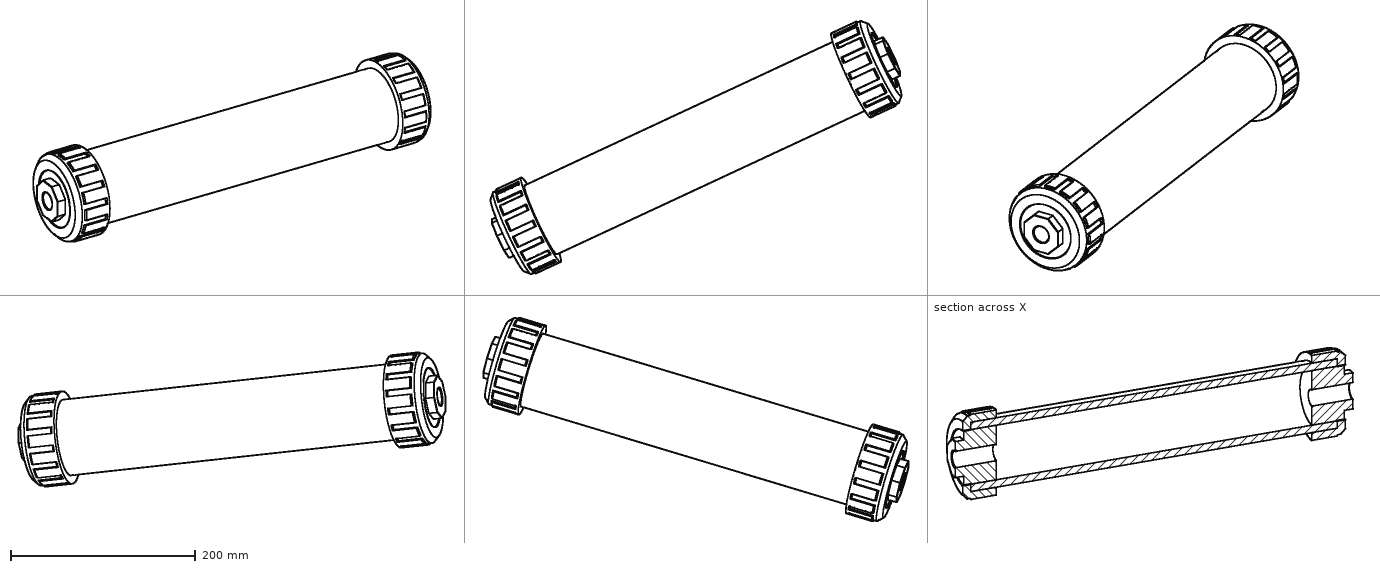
import cadquery as cq
import math

TOTAL_LENGTH = 471.5

TUBE_DIAMETER = 83.0

HEAD_LENGTH = 9.0
HEAD_ACROSS_FLATS = 43.5
HEAD_SIDES = 8
HEAD_CHAMFER = 0.5
PORT_DIAMETER = 19.0
PORT_CHAMFER = 1.0
PLUG_DIAMETER = 64.0
OPENING_DIAMETER = 65.0
PLUG_RECESS = 1.0

CAP_DIAMETER = 101.5
COLLAR_DIAMETER = 98.5
CAP_LENGTH = 40.0
CAP_WALL = 9.5
CAP_CHAMFER = 5.5
COLLAR_LENGTH = 9.0
FLANGE_LENGTH = 3.0
PAD_COUNT = 16
PAD_WIDTH = 12.5

END_Y = TOTAL_LENGTH / 2
CAP_FACE_Y = END_Y - HEAD_LENGTH
CAP_INNER_Y = CAP_FACE_Y - CAP_LENGTH
TUBE_END_Y = CAP_FACE_Y - CAP_WALL
PLUG_FACE_Y = CAP_FACE_Y - PLUG_RECESS
PAD_END_Y = CAP_FACE_Y - COLLAR_LENGTH
FLANGE_END_Y = CAP_INNER_Y + FLANGE_LENGTH
CAP_RADIUS = CAP_DIAMETER / 2
COLLAR_RADIUS = COLLAR_DIAMETER / 2
PAD_HEIGHT = CAP_RADIUS - COLLAR_RADIUS
HEAD_ACROSS_CORNERS = HEAD_ACROSS_FLATS / math.cos(math.pi / HEAD_SIDES)


def cylinder(diameter, start_y, end_y):
    """Solid cylinder on the Y axis between two Y positions."""
    base = cq.Workplane("XZ", origin=(0, start_y, 0))
    return base.circle(diameter / 2).extrude(start_y - end_y)


def turned(profile):
    """Solid of revolution about the Y axis from (radius, y) points."""
    return cq.Workplane("XY").polyline(profile).close().revolve(360, (0, 0, 0), (0, 1, 0))


def make_tube():
    """Plain tube that ends against the end wall of each cap."""
    bore = cylinder(PLUG_DIAMETER, -TUBE_END_Y, TUBE_END_Y)
    return cylinder(TUBE_DIAMETER, -TUBE_END_Y, TUBE_END_Y).cut(bore)


def make_cap_core():
    """Solid cap without pads: flange with a sloped shoulder, collar and chamfered face."""
    return turned([
        (0, CAP_INNER_Y),
        (CAP_RADIUS, CAP_INNER_Y),
        (CAP_RADIUS, FLANGE_END_Y),
        (COLLAR_RADIUS, FLANGE_END_Y + PAD_HEIGHT),
        (COLLAR_RADIUS, CAP_FACE_Y - CAP_CHAMFER),
        (COLLAR_RADIUS - CAP_CHAMFER, CAP_FACE_Y),
        (0, CAP_FACE_Y),
    ])


def make_pads():
    """Straight-sided grip pads that run from the flange and slope down to the collar."""
    envelope = turned([
        (TUBE_DIAMETER / 2, CAP_INNER_Y),
        (CAP_RADIUS, CAP_INNER_Y),
        (CAP_RADIUS, PAD_END_Y - PAD_HEIGHT),
        (COLLAR_RADIUS, PAD_END_Y),
        (TUBE_DIAMETER / 2, PAD_END_Y),
    ])
    bar = (
        cq.Workplane("XY")
        .box(PAD_WIDTH, CAP_LENGTH, CAP_DIAMETER, centered=(True, False, False))
        .translate((0, CAP_INNER_Y, 0))
    )
    pads = []
    for index in range(PAD_COUNT):
        turned_bar = bar.rotate((0, 0, 0), (0, 1, 0), index * 360 / PAD_COUNT)
        pads.append(turned_bar.intersect(envelope))
    return pads


def make_cap():
    """Screw cap at the +Y end, with a socket for the tube and an opening for the plug."""
    cap = make_cap_core()
    for pad in make_pads():
        cap = cap.union(pad)
    socket = cylinder(TUBE_DIAMETER, CAP_INNER_Y, TUBE_END_Y)
    opening = cylinder(OPENING_DIAMETER, TUBE_END_Y, CAP_FACE_Y)
    return cap.cut(socket).cut(opening)


def make_head():
    """Octagon head with two flats level and a chamfered outer end."""
    return (
        cq.Workplane("XZ", origin=(0, PLUG_FACE_Y, 0))
        .polygon(HEAD_SIDES, HEAD_ACROSS_CORNERS)
        .extrude(PLUG_FACE_Y - END_Y)
        .faces(">Y")
        .chamfer(HEAD_CHAMFER)
        .rotate((0, 0, 0), (0, 1, 0), 180 / HEAD_SIDES)
    )


def make_port():
    """Flow bore through the plug, widened by a chamfer at the head end."""
    radius = PORT_DIAMETER / 2
    return turned([
        (0, CAP_INNER_Y),
        (radius, CAP_INNER_Y),
        (radius, END_Y - PORT_CHAMFER),
        (radius + PORT_CHAMFER, END_Y),
        (0, END_Y),
    ])


def make_plug():
    """Round plug at the +Y end, with an octagon head and a port."""
    body = cylinder(PLUG_DIAMETER, CAP_INNER_Y, PLUG_FACE_Y)
    return body.union(make_head()).cut(make_port())


tube = make_tube()
bodies = [tube.val()]
for end_body in (make_cap(), make_plug()):
    bodies.append(end_body.val())
    bodies.append(end_body.mirror("XZ").val())

result = cq.Compound.makeCompound(bodies)